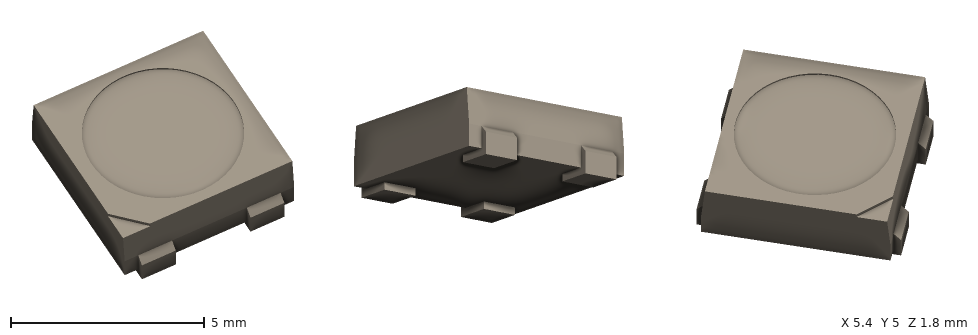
import cadquery as cq

length = 5.4
width = 5.0
height = 1.8
base_length = 5.0
top_length = 4.8
base_bottom = 0.2
base_top = 0.8

window_diameter = 4.2
window_depth = 0.05
mark_leg = 0.8
mark_depth = 0.1

lead_width = 1.0
lead_spacing = 3.2
foot_length = 1.0


def make_housing():
    half_base = base_length / 2
    half_top = top_length / 2
    profile = [
        (-half_base, base_bottom),
        (half_base, base_bottom),
        (half_base, base_top),
        (half_top, height),
        (-half_top, height),
        (-half_base, base_top),
    ]
    return cq.Workplane("XZ").polyline(profile).close().extrude(width / 2, both=True)


def make_window():
    floor = height - window_depth
    return cq.Workplane("XY").workplane(offset=floor).circle(window_diameter / 2).extrude(window_depth)


def make_corner_mark():
    overrun = (base_length - top_length) / 2
    corner_x = base_length / 2
    corner_y = -width / 2
    leg = mark_leg + overrun
    outline = [
        (corner_x, corner_y),
        (corner_x, corner_y + leg),
        (corner_x - leg, corner_y),
    ]
    floor = height - mark_depth
    return cq.Workplane("XY").workplane(offset=floor).polyline(outline).close().extrude(mark_depth)


def make_lead(side, y_center):
    outer = length / 2
    wall = base_length / 2
    riser_thickness = outer - wall
    profile = [
        (side * (outer - foot_length), 0),
        (side * outer, 0),
        (side * outer, base_top - riser_thickness),
        (side * wall, base_top),
        (side * wall, base_bottom),
        (side * (outer - foot_length), base_bottom),
    ]
    lead = cq.Workplane("XZ").polyline(profile).close().extrude(lead_width / 2, both=True)
    return lead.translate((0, y_center, 0))


result = make_housing().cut(make_window()).cut(make_corner_mark())
for side in (-1, 1):
    for y_center in (-lead_spacing / 2, lead_spacing / 2):
        result = result.union(make_lead(side, y_center))